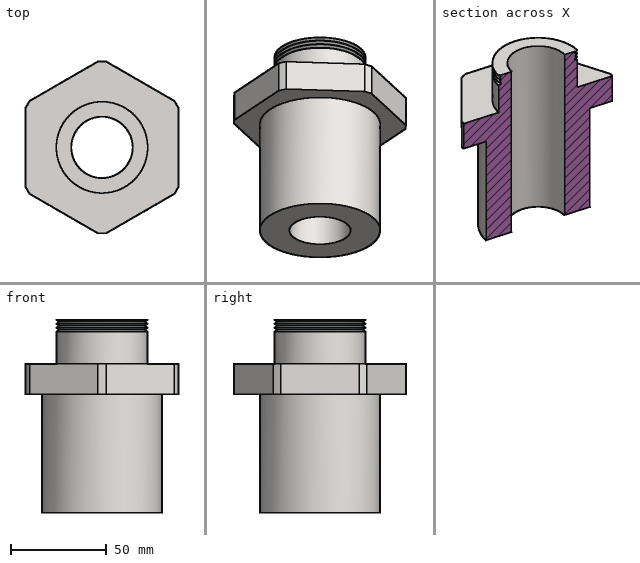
import cadquery as cq
import math

body_diameter = 63.0
body_length = 62.0
hex_sides = 6
hex_across_flats = 80.0
hex_corner_diameter = 90.0
hex_thickness = 16.0
neck_diameter = 47.8
neck_length = 23.0
bore_diameter = 32.0
groove_count = 3
groove_pitch = 2.08
groove_depth = 1.5

hex_bottom = body_length
neck_bottom = hex_bottom + hex_thickness
total_height = neck_bottom + neck_length


def make_cylinder(diameter, bottom, height):
    """Cylinder on the Z axis."""
    return cq.Workplane("XY").workplane(offset=bottom).circle(diameter / 2).extrude(height)


def make_hexagon():
    """Hexagonal collar with flats facing +X and -X and turned corners."""
    sharp_corner_radius = hex_across_flats / 2 / math.cos(math.pi / hex_sides)
    corner_angles = [math.pi / 2 + index * 2 * math.pi / hex_sides for index in range(hex_sides)]
    corners = [
        (sharp_corner_radius * math.cos(angle), sharp_corner_radius * math.sin(angle))
        for angle in corner_angles
    ]
    hexagon = cq.Workplane("XY").workplane(offset=hex_bottom).polyline(corners).close().extrude(hex_thickness)
    return hexagon.intersect(make_cylinder(hex_corner_diameter, hex_bottom, hex_thickness))


def make_neck():
    """Neck with V-shaped ring grooves running down from its top edge."""
    neck_radius = neck_diameter / 2
    groove_root_radius = neck_radius - groove_depth
    profile = cq.Workplane("XZ").moveTo(0, neck_bottom).lineTo(0, total_height)
    profile = profile.lineTo(neck_radius, total_height)
    for index in range(groove_count):
        groove_top = total_height - index * groove_pitch
        profile = profile.lineTo(groove_root_radius, groove_top - groove_pitch / 2)
        profile = profile.lineTo(neck_radius, groove_top - groove_pitch)
    return profile.lineTo(neck_radius, neck_bottom).close().revolve(360, (0, 0, 0), (0, 1, 0))


body = make_cylinder(body_diameter, 0, body_length)
bore = make_cylinder(bore_diameter, 0, total_height)
result = body.union(make_hexagon()).union(make_neck()).cut(bore)